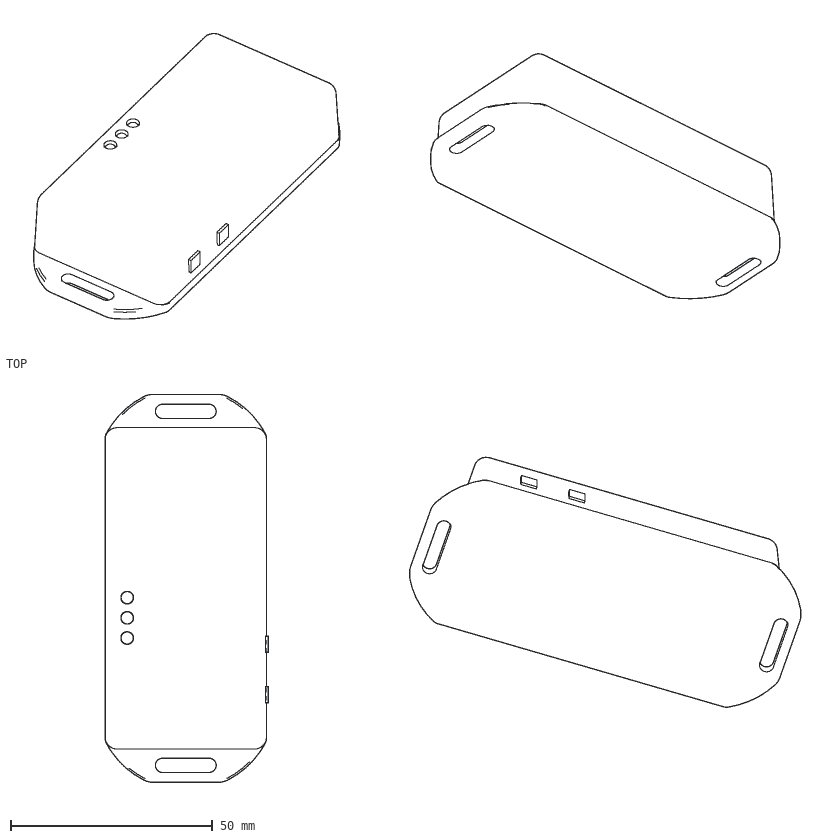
import cadquery as cq

length = 96.2
height = 20.0
button_projection = 0.5
overall_width = 40.5
width = overall_width - button_projection

base_thickness = 3.0
tab_straight_y = 37.8
tab_end_half_width = 9.2
tab_arc_radius = 21.7
side_corner_radius = 2.5
end_corner_radius = 5.0
base_rim_radius = 0.5

slot_width = 3.5
slot_length = 15.0
slot_y = 43.9

cover_length = 79.7
cover_draft = 2.0
cover_edge_radius = 3.0
cover_height = height - base_thickness

led_diameter = 3.0
led_hole_diameter = 3.2
led_hole_depth = 3.85
led_recess = 0.2
led_count = 3
led_pitch = 5.0
led_x = -14.5
led_middle_y = -7.3

button_size = 4.0
button_root = 1.9
button_ys = (-13.9, -26.4)
button_z = 8.5


def make_sharp_plate():
    """Plate with straight sides and arc-sided tabs, its rims still sharp."""
    half_width = width / 2
    half_length = length / 2
    outline = (
        cq.Workplane("XY")
        .moveTo(half_width, -tab_straight_y)
        .lineTo(half_width, tab_straight_y)
        .radiusArc((tab_end_half_width, half_length), -tab_arc_radius)
        .lineTo(-tab_end_half_width, half_length)
        .radiusArc((-half_width, tab_straight_y), -tab_arc_radius)
        .lineTo(-half_width, -tab_straight_y)
        .radiusArc((-tab_end_half_width, -half_length), -tab_arc_radius)
        .lineTo(tab_end_half_width, -half_length)
        .radiusArc((half_width, -tab_straight_y), -tab_arc_radius)
        .close()
    )
    plate = outline.extrude(base_thickness)
    margin = 1.0
    side_corners = cq.selectors.BoxSelector(
        (-width, -tab_straight_y - margin, -margin),
        (width, tab_straight_y + margin, height),
    )
    plate = plate.edges("|Z").edges(side_corners).fillet(side_corner_radius)
    for tab_end_y in (-half_length, half_length):
        end_corners = cq.selectors.BoxSelector(
            (-tab_end_half_width - margin, tab_end_y - margin, -margin),
            (tab_end_half_width + margin, tab_end_y + margin, height),
        )
        plate = plate.edges("|Z").edges(end_corners).fillet(end_corner_radius)
    return plate


def make_base():
    """Plate with rounded rims, a sharp-edged seat under the cover and two strap slots."""
    sharp_plate = make_sharp_plate()
    plate = sharp_plate.faces("<Z or >Z").edges().fillet(base_rim_radius)
    cover_footprint = (
        cq.Workplane("XY", origin=(0, 0, base_thickness / 2))
        .rect(width, cover_length)
        .extrude(base_thickness / 2)
        .edges("|Z")
        .fillet(cover_edge_radius)
    )
    plate = plate.union(sharp_plate.intersect(cover_footprint))
    slots = (
        cq.Workplane("XY")
        .pushPoints([(0, -slot_y), (0, slot_y)])
        .slot2D(slot_length, slot_width)
        .extrude(base_thickness)
    )
    return plate.cut(slots)


def led_positions():
    """Centres of the lights, in a row along Y."""
    first_y = led_middle_y - led_pitch * (led_count - 1) / 2
    return [(led_x, first_y + led_pitch * i) for i in range(led_count)]


def make_cover():
    """Drafted box with rounded edges, blind light holes and raised buttons."""
    cover = (
        cq.Workplane("XY", origin=(0, 0, base_thickness))
        .rect(width, cover_length)
        .extrude(cover_height, taper=cover_draft)
    )
    cover = cover.edges("not #Z").edges("not |X").edges("not |Y").fillet(cover_edge_radius)
    cover = cover.faces(">Z").edges().fillet(cover_edge_radius)
    led_holes = (
        cq.Workplane("XY", origin=(0, 0, height - led_hole_depth))
        .pushPoints(led_positions())
        .circle(led_hole_diameter / 2)
        .extrude(led_hole_depth)
    )
    buttons = (
        cq.Workplane("YZ", origin=(width / 2 - button_root, 0, 0))
        .pushPoints([(y, button_z) for y in button_ys])
        .rect(button_size, button_size)
        .extrude(button_root + button_projection)
    )
    return cover.cut(led_holes).union(buttons)


def make_led(x, y):
    """Round light with a hemispherical top, standing on the floor of its hole."""
    radius = led_diameter / 2
    dome_center_z = height - led_recess - radius
    floor_z = height - led_hole_depth
    stem = (
        cq.Workplane("XY", origin=(x, y, floor_z))
        .circle(radius)
        .extrude(dome_center_z - floor_z)
    )
    dome = cq.Workplane("XY", origin=(x, y, dome_center_z)).sphere(radius, direct=(1, 0, 0))
    return stem.union(dome)


base = make_base()
cover = make_cover()
leds = [make_led(x, y) for x, y in led_positions()]

result = cq.Compound.makeCompound(
    [base.val(), cover.val(), *[led.val() for led in leds]]
)